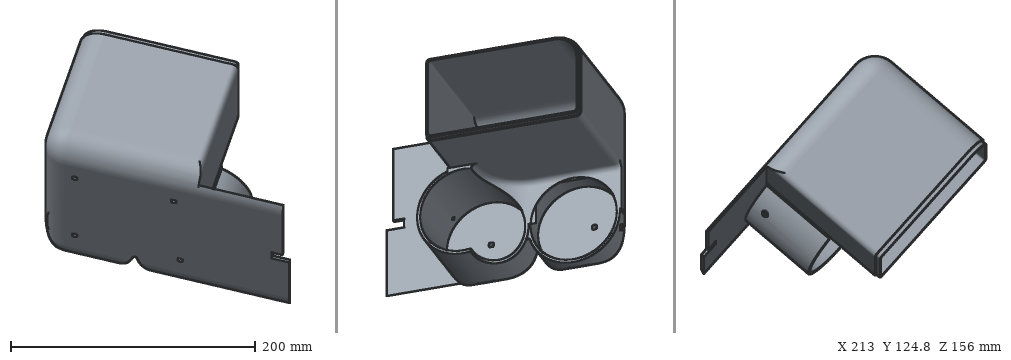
import cadquery as cq
import math

length = 213.0
depth = 124.8
height = 156.0
edge_radius = 21.3
wall = 3.0

box_width = 135.0
box_height = 75.0
box_bottom = height - box_height
box_corner = 5.0
lip_depth = 4.3
lip_inset = 1.3
box_depth = depth - lip_depth

bore_radius = 75.2 / 2
socket_radius = 40.3
socket_z = socket_radius
left_socket_x = 41.7
socket_spacing = 79.5
right_socket_x = left_socket_x + socket_spacing
middle_x = left_socket_x + socket_spacing / 2
left_socket_depth = 25.3
right_socket_depth = 71.1
socket_floor = 7.5
cusp_radius = 1.5
side_wall_bottom = 42.0
junction_radius = 5.3

relief_x = 114.8
relief_radius = 40.0
relief_clearance = 2.1

plate_upper_right = 207.2
notch_left = 197.9
notch_bottom = 71.4
notch_top = 79.5

screw_diameter = 4.5
screw_upper_z = 118.9
screw_lower_z = 39.0
screw_left_x = 30.2
screw_upper_right_x = 114.5
screw_lower_right_x = 120.1
screw_positions = [
    (screw_left_x, screw_upper_z),
    (screw_upper_right_x, screw_upper_z),
    (screw_left_x, screw_lower_z),
    (screw_lower_right_x, screw_lower_z),
]

pin_diameter = 2.5
pin_head_diameter = 5.5
pin_head_depth = 1.3
left_pin_y = 17.0
left_pin_angle = 196.0
right_pin_y = 16.0
right_pin_angle = 40.0


def block(x0, x1, y0, y1, z0, z1):
    return cq.Workplane("XY").box(x1 - x0, y1 - y0, z1 - z0, centered=False).translate((x0, y0, z0))


def cylinder_y(x, z, radius, y0, y1):
    """Cylinder along Y from y0 to y1."""
    return cq.Workplane("XZ", origin=(x, y0, z)).circle(radius).extrude(y0 - y1)


def box_prism(inset, y0, y1):
    """Housing outline offset inwards by inset: one large corner at top left, three small ones."""
    prism = block(inset, box_width - inset, y0, y1, box_bottom + inset, height - inset)
    prism = prism.edges("|Y and <X and >Z").fillet(edge_radius - inset)
    return prism.edges("|Y").edges(">X or <Z").fillet(box_corner - inset)


def rounded_envelope(inset):
    """Block with its left and front edges rounded; it runs on past the right end of the part."""
    body = block(inset, length + edge_radius, inset, depth, inset, height - inset)
    edges = body.edges("(|Y and <X) or (<Y and (<X or >Z or <Z))")
    return edges.fillet(edge_radius - inset)


def front_plate():
    outline = [
        (right_socket_x, 0),
        (length, 0),
        (length, notch_bottom),
        (notch_left, notch_bottom),
        (notch_left, notch_top),
        (plate_upper_right, notch_top),
        (plate_upper_right, height),
        (0, height),
        (0, side_wall_bottom),
        (right_socket_x, side_wall_bottom),
    ]
    return cq.Workplane("XZ").polyline(outline).close().extrude(-wall)


def cusp_web():
    """Fill between the sockets, ending in a small arc tangent to both of them."""
    centre_drop = math.sqrt((socket_radius + cusp_radius) ** 2 - (socket_spacing / 2) ** 2)
    cusp_z = socket_z - centre_drop
    reach = socket_radius / (socket_radius + cusp_radius)
    tangent_offset = socket_spacing / 2 * (1 - reach)
    tangent_z = socket_z - centre_drop * reach
    return (
        cq.Workplane("XZ")
        .moveTo(left_socket_x, side_wall_bottom)
        .lineTo(left_socket_x, socket_z)
        .lineTo(middle_x - tangent_offset, tangent_z)
        .threePointArc((middle_x, cusp_z + cusp_radius), (middle_x + tangent_offset, tangent_z))
        .lineTo(right_socket_x, socket_z)
        .lineTo(right_socket_x, side_wall_bottom)
        .close()
        .extrude(-left_socket_depth)
    )


def relief():
    """Space behind the short socket, ending in a quarter round against the long socket.

    It reaches up around the rounded lower edge of the box, and the edges along the box are
    rounded so that they leave a fillet there.
    """
    left = -relief_clearance - junction_radius
    rear = right_socket_depth + relief_clearance
    space = (
        cq.Workplane("XY")
        .moveTo(left, left_socket_depth)
        .lineTo(relief_x - relief_radius, left_socket_depth)
        .radiusArc((relief_x, left_socket_depth + relief_radius), -relief_radius)
        .lineTo(relief_x, rear)
        .lineTo(left, rear)
        .close()
        .extrude(box_bottom + 2 * box_corner)
        .cut(box_prism(0, 0, box_depth))
    )
    corner_middle = (box_corner / 2, left_socket_depth, box_bottom + box_corner / 2)
    wall_middle = (relief_x / 4, left_socket_depth, box_bottom)
    seams = space.edges(cq.NearestToPointSelector(corner_middle))
    seams = seams.add(space.edges(cq.NearestToPointSelector(wall_middle)))
    return seams.fillet(junction_radius)


def lower_body():
    fill_top = box_bottom + box_corner
    body = block(0, middle_x, 0, right_socket_depth, side_wall_bottom, fill_top)
    body = body.union(block(middle_x, box_width, 0, right_socket_depth, socket_z, box_bottom))
    body = body.union(cylinder_y(right_socket_x, socket_z, socket_radius, 0, right_socket_depth))
    body = body.cut(relief())
    body = body.union(cusp_web())
    return body.union(cylinder_y(left_socket_x, socket_z, socket_radius, 0, left_socket_depth))


def pin_hole(x, y, angle):
    """Stepped hole pointing out from a socket axis at an angle above +X."""
    direction = cq.Vector(math.cos(math.radians(angle)), 0, math.sin(math.radians(angle)))
    axis_point = cq.Vector(x, y, socket_z)
    drill = cq.Solid.makeCylinder(pin_diameter / 2, 2 * socket_radius, axis_point, direction)
    seat = axis_point + direction * (socket_radius - pin_head_depth)
    head = cq.Solid.makeCylinder(pin_head_diameter / 2, socket_radius, seat, direction)
    return cq.Workplane(drill.fuse(head))


outer = front_plate().union(box_prism(0, 0, box_depth)).union(lower_body())
outer = outer.intersect(rounded_envelope(0))
outer = outer.union(box_prism(lip_inset, box_depth - wall, depth))

result = outer.cut(box_prism(wall, socket_floor, depth).intersect(rounded_envelope(wall)))
result = result.cut(cylinder_y(left_socket_x, socket_z, bore_radius, socket_floor, left_socket_depth))
result = result.cut(cylinder_y(right_socket_x, socket_z, bore_radius, socket_floor, right_socket_depth))

for screw_x, screw_z in screw_positions:
    result = result.cut(cylinder_y(screw_x, screw_z, screw_diameter / 2, 0, wall + socket_floor))
result = result.cut(pin_hole(left_socket_x, left_pin_y, left_pin_angle))
result = result.cut(pin_hole(right_socket_x, right_pin_y, right_pin_angle))